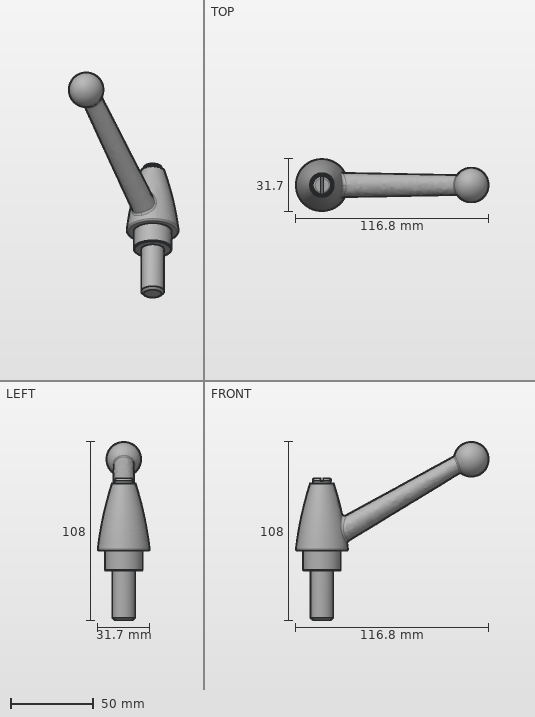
import cadquery as cq
import math

pin_diameter = 14.0
pin_chamfer = 1.6
collar_diameter = 23.0
collar_chamfer = 0.6
collar_bottom = 29.9

hub_bottom = 42.0
hub_rim_round = 1.2
hub_top = 82.8
hub_diameter = 31.7
hub_top_diameter = 14.5
hub_mid_radius = 12.5
hub_mid_height = 63.1

recess_diameter = 12.6
recess_depth = 0.2
recess_floor = hub_top - recess_depth

neck_diameter = 11.0
head_diameter = 11.2
head_bottom = 84.5
head_top = 86.1
head_round = 1.4
slot_width = 1.5

ball_diameter = 21.1
total_length = 116.8
total_height = 108.0
ball_x = total_length - hub_diameter / 2 - ball_diameter / 2
ball_z = total_height - ball_diameter / 2

arm_angle = 30.0
arm_offset = 1.5
arm_length = 98.1
arm_root_height = 14.8
arm_root_width = 15.2
arm_tip_height = 10.3
arm_tip_width = 11.9

hub_joint = (14.0, 54.9)
hub_joint_reach = 7.0
hub_joint_radius = 1.6
ball_joint = (82.2, 94.6)
ball_joint_reach = 2.3
ball_joint_radius = 1.2


def make_spindle():
    """Revolve the pin, collar and hub about the Z axis."""
    hub_radius = hub_diameter / 2
    pin_radius = pin_diameter / 2
    collar_radius = collar_diameter / 2
    rim_top = hub_bottom + hub_rim_round
    return (
        cq.Workplane("XZ")
        .lineTo(pin_radius - pin_chamfer, 0)
        .lineTo(pin_radius, pin_chamfer)
        .lineTo(pin_radius, collar_bottom)
        .lineTo(collar_radius - collar_chamfer, collar_bottom)
        .lineTo(collar_radius, collar_bottom + collar_chamfer)
        .lineTo(collar_radius, hub_bottom)
        .lineTo(hub_radius - hub_rim_round, hub_bottom)
        .radiusArc((hub_radius, rim_top), -hub_rim_round)
        .threePointArc((hub_mid_radius, hub_mid_height), (hub_top_diameter / 2, hub_top))
        .lineTo(recess_diameter / 2, hub_top)
        .lineTo(recess_diameter / 2, recess_floor)
        .lineTo(0, recess_floor)
        .close()
        .revolve(360, (0, 0, 0), (0, 1, 0))
    )


def make_screw():
    """Round-edged screw head with a slot along Y, on a slightly thinner neck."""
    neck = (
        cq.Workplane("XY").workplane(offset=recess_floor)
        .circle(neck_diameter / 2).extrude(head_bottom - recess_floor)
    )
    head_height = head_top - head_bottom
    head = (
        cq.Workplane("XY").workplane(offset=head_bottom)
        .circle(head_diameter / 2).extrude(head_height)
        .faces(">Z").edges().fillet(head_round)
    )
    slot = (
        cq.Workplane("XY").workplane(offset=head_bottom)
        .rect(slot_width, head_diameter).extrude(head_height)
    )
    return neck.union(head.cut(slot))


def make_arm():
    """Loft from inside the hub to inside the ball."""
    angle = math.radians(arm_angle)
    tip_x = ball_x - arm_offset * math.sin(angle)
    tip_z = ball_z + arm_offset * math.cos(angle)
    root = (tip_x - arm_length * math.cos(angle), 0, tip_z - arm_length * math.sin(angle))
    root_plane = cq.Plane(origin=root, xDir=(0, 1, 0), normal=(math.cos(angle), 0, math.sin(angle)))
    return (
        cq.Workplane(root_plane)
        .ellipse(arm_root_width / 2, arm_root_height / 2)
        .workplane(offset=arm_length)
        .ellipse(arm_tip_width / 2, arm_tip_height / 2)
        .loft()
    )


def round_joint(body, center, reach, radius):
    """Round the seams whose centres lie within reach of the given XZ point."""
    x, z = center
    seam = cq.selectors.BoxSelector((x - reach, -reach, z - reach), (x + reach, reach, z + reach))
    return body.edges(seam).fillet(radius)


ball = cq.Workplane("XY").sphere(ball_diameter / 2).translate((ball_x, 0, ball_z))
body = make_spindle().union(make_arm()).union(ball)
body = round_joint(body, hub_joint, hub_joint_reach, hub_joint_radius)
body = round_joint(body, ball_joint, ball_joint_reach, ball_joint_radius)
result = body.union(make_screw())